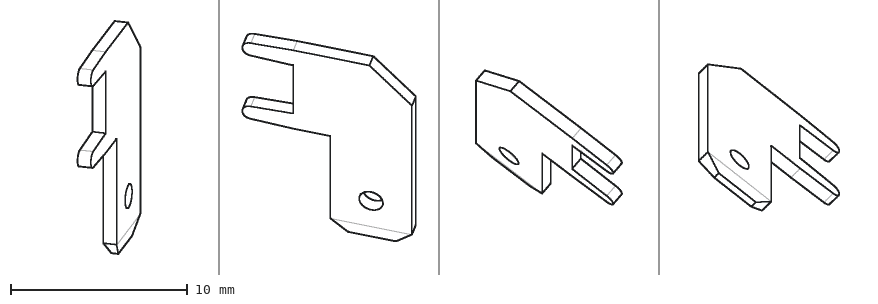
import cadquery as cq

thickness = 0.8
height = 13.7
total_width = 10.0

blade_width = 4.82
tip_height = 1.0
tip_inset = 1.0
tip_thickness = 0.4
hole_diameter = 1.4
hole_height = 3.01

corner_chamfer = 2.51
pin_length = 3.0
pin_pitch = 5.0
pin_root_width = 1.2
pin_end_radius = 0.5

blade_edge = blade_width / 2
pin_end = blade_edge - total_width
pin_root = pin_end + pin_length
arc_start = pin_end + pin_end_radius
upper_pin_height = height - pin_root_width / 2
lower_pin_height = upper_pin_height - pin_pitch
shoulder_height = lower_pin_height - pin_root_width / 2


def add_pin(outline, center_height):
    """Trace a tapered, round-ended pin from its lower root to its upper root."""
    half_root = pin_root_width / 2
    return (
        outline.lineTo(pin_root, center_height - half_root)
        .lineTo(arc_start, center_height - pin_end_radius)
        .threePointArc((pin_end, center_height), (arc_start, center_height + pin_end_radius))
        .lineTo(pin_root, center_height + half_root)
    )


def make_plate():
    """Flat terminal outline, extruded symmetrically about X = 0."""
    outline = (
        cq.Workplane("YZ")
        .moveTo(blade_edge - tip_inset, 0)
        .lineTo(-blade_edge + tip_inset, 0)
        .lineTo(-blade_edge, tip_height)
        .lineTo(-blade_edge, shoulder_height)
    )
    outline = add_pin(outline, lower_pin_height)
    outline = add_pin(outline, upper_pin_height)
    outline = (
        outline.lineTo(blade_edge - corner_chamfer, height)
        .lineTo(blade_edge, height - corner_chamfer)
        .lineTo(blade_edge, tip_height)
        .close()
    )
    return outline.extrude(thickness / 2, both=True)


def make_tip_envelope():
    """Side profile that thins the blade tip on both faces."""
    half = thickness / 2
    half_tip = tip_thickness / 2
    return (
        cq.Workplane("XZ")
        .polyline([
            (-half_tip, 0),
            (half_tip, 0),
            (half, tip_height),
            (half, height),
            (-half, height),
            (-half, tip_height),
        ])
        .close()
        .extrude(total_width, both=True)
    )


def make_hole():
    """Through hole on the blade centreline."""
    return (
        cq.Workplane("YZ")
        .center(0, hole_height)
        .circle(hole_diameter / 2)
        .extrude(thickness, both=True)
    )


result = make_plate().intersect(make_tip_envelope()).cut(make_hole())